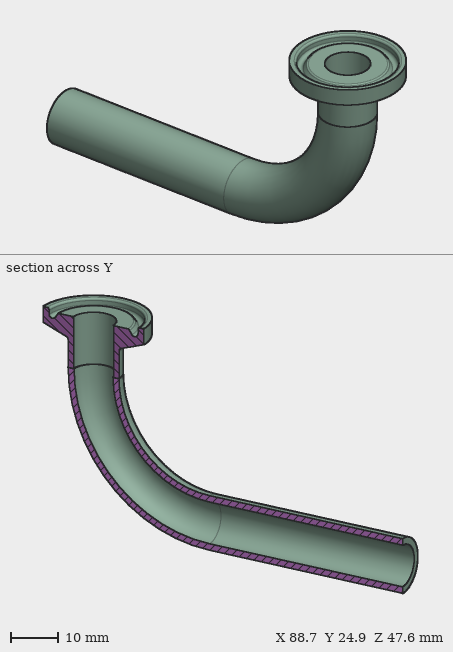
import cadquery as cq
import math

tube_diameter = 12.7
bore_diameter = 9.5
bend_radius = 28.55
ferrule_diameter = 24.9
ferrule_bore_diameter = 9.75
overall_length = 88.7
overall_height = 47.6

tube_radius = tube_diameter / 2
bore_radius = bore_diameter / 2
ferrule_bore_radius = ferrule_bore_diameter / 2
flange_radius = ferrule_diameter / 2
ferrule_axis_x = overall_length - flange_radius
straight_length = ferrule_axis_x - bend_radius
tube_axis_z = tube_radius
ferrule_bottom_z = tube_axis_z + bend_radius
ferrule_height = overall_height - ferrule_bottom_z

rim_height = 3.7
back_taper_angle = 20.0
neck_fillet = 0.6
land_recess = 0.8
lip_inner_radius = 11.4
lip_fillet = 0.5
land_radius = 8.4
land_fillet = 0.5
groove_inner_radius = 9.5
flank_slope = 55.0


def make_tube():
    """Hollow tube swept along the straight leg and the quarter bend."""
    diagonal = bend_radius * math.sqrt(0.5)
    path = (
        cq.Workplane("XZ")
        .moveTo(0, tube_axis_z)
        .lineTo(straight_length, tube_axis_z)
        .threePointArc(
            (straight_length + diagonal, ferrule_bottom_z - diagonal),
            (ferrule_axis_x, ferrule_bottom_z),
        )
    )
    return (
        cq.Workplane("YZ")
        .center(0, tube_axis_z)
        .circle(tube_radius)
        .circle(bore_radius)
        .sweep(path)
    )


def make_ferrule():
    """Revolved ferrule standing on the upper end of the tube."""
    rim_bottom = ferrule_height - rim_height
    taper = math.radians(back_taper_angle)
    neck_top = rim_bottom - (flange_radius - tube_radius) * math.tan(taper)
    fillet_setback = neck_fillet * math.tan((math.pi / 2 - taper) / 2)
    land_height = ferrule_height - land_recess

    slope = math.radians(flank_slope)
    flank_top_radius = land_radius + land_fillet * math.sin(slope)
    flank_top = land_height - land_fillet * (1 - math.cos(slope))
    flank_bottom = flank_top - (groove_inner_radius - flank_top_radius) * math.tan(slope)

    groove_outer_radius = lip_inner_radius - lip_fillet
    floor_radius = (groove_outer_radius - groove_inner_radius) / (1 + math.sin(slope))
    floor_center_radius = groove_outer_radius - floor_radius
    floor_center_height = flank_bottom + floor_radius * math.cos(slope)

    body = (
        cq.Workplane("XZ")
        .moveTo(ferrule_bore_radius, 0)
        .lineTo(tube_radius, 0)
        .lineTo(tube_radius, neck_top - fillet_setback)
        .radiusArc(
            (
                tube_radius + fillet_setback * math.cos(taper),
                neck_top + fillet_setback * math.sin(taper),
            ),
            neck_fillet,
        )
        .lineTo(flange_radius, rim_bottom)
        .lineTo(flange_radius, ferrule_height)
        .lineTo(lip_inner_radius, ferrule_height)
        .radiusArc((groove_outer_radius, ferrule_height - lip_fillet), -lip_fillet)
        .lineTo(groove_outer_radius, floor_center_height)
        .threePointArc(
            (floor_center_radius, floor_center_height - floor_radius),
            (groove_inner_radius, flank_bottom),
        )
        .lineTo(flank_top_radius, flank_top)
        .radiusArc((land_radius, land_height), -land_fillet)
        .lineTo(ferrule_bore_radius, land_height)
        .close()
        .revolve(360, (0, 0, 0), (0, 1, 0))
    )
    return body.translate((ferrule_axis_x, 0, ferrule_bottom_z))


tube = make_tube()
ferrule = make_ferrule()

result = cq.Compound.makeCompound([tube.val(), ferrule.val()])